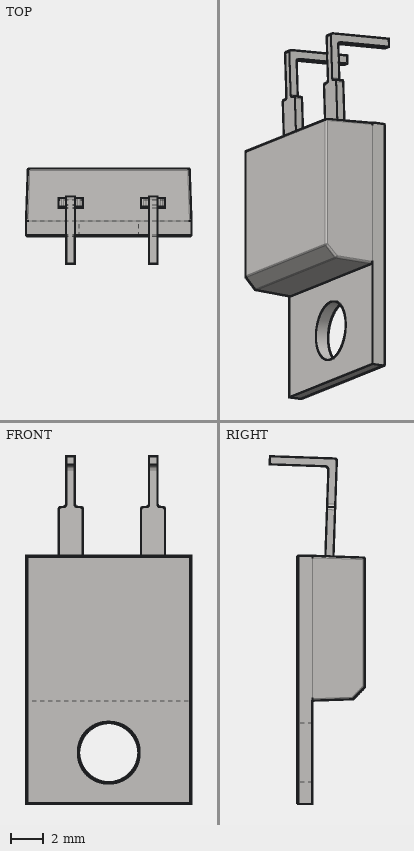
import cadquery as cq
import math

TOTAL_HEIGHT = 21.35
LEAD_TIP_Y = -1.69
BODY_BACK_Y = 4.16

PLATE_WIDTH = 10.15
PLATE_HEIGHT = 15.24
PLATE_THICKNESS = 0.94
PLATE_CHAMFER = 0.09
HOLE_DIAMETER = 3.63
HOLE_CHAMFER = 0.09
HOLE_Z = 3.15

BODY_BOTTOM_Z = 6.34
DRAFT_ANGLE = 2.0
BODY_BEVEL = 0.73
BODY_EDGE_RADIUS = 0.13

LEAD_PAIR_X = 0.2
LEAD_PITCH = 5.08
LEAD_WIDTH = 0.53
LEAD_THICKNESS = 0.51
LEAD_BASE_Y = 1.98
LEAD_TILT = 2.0
LEAD_EMBED = 0.65
PAD_WIDTH = 1.5
PAD_PITCH = 5.04
PAD_HEIGHT = 2.99
SHOULDER_RADIUS = 0.17
BEND_OUTER_RADIUS = 0.17
BEND_INNER_RADIUS = 0.21


def make_plate():
    plate = (
        cq.Workplane("XY")
        .box(PLATE_WIDTH, PLATE_THICKNESS, PLATE_HEIGHT, centered=(True, False, False))
        .faces("<Y").chamfer(PLATE_CHAMFER)
    )
    hole = (
        cq.Workplane("XZ", origin=(0, 0, HOLE_Z))
        .circle(HOLE_DIAMETER / 2)
        .extrude(-PLATE_THICKNESS)
    )
    return plate.cut(hole).faces("<Y").edges("%CIRCLE").chamfer(HOLE_CHAMFER)


def make_body():
    height = PLATE_HEIGHT - BODY_BOTTOM_Z
    depth = BODY_BACK_Y - PLATE_THICKNESS
    body = (
        cq.Workplane("XZ", origin=(0, PLATE_THICKNESS, BODY_BOTTOM_Z + height / 2))
        .rect(PLATE_WIDTH, height)
        .extrude(-depth, taper=DRAFT_ANGLE)
    )
    body = body.faces(">Y").edges("<Z").chamfer(BODY_BEVEL)
    return body.edges("not <Y").fillet(BODY_EDGE_RADIUS)


def make_lead(side):
    """Tilted L-shaped lead; side is -1 or +1 along X."""
    tilt = math.radians(LEAD_TILT)
    half = LEAD_THICKNESS / 2

    rise = TOTAL_HEIGHT - PLATE_HEIGHT
    reach = LEAD_BASE_Y - LEAD_TIP_Y - LEAD_THICKNESS * math.sin(tilt)
    top = rise * math.cos(tilt) - reach * math.sin(tilt)
    tip = -(reach * math.cos(tilt) + rise * math.sin(tilt))

    bent_strip = (
        cq.Workplane("YZ")
        .moveTo(-half, -LEAD_EMBED)
        .lineTo(half, -LEAD_EMBED)
        .lineTo(half, top)
        .lineTo(tip, top)
        .lineTo(tip, top - LEAD_THICKNESS)
        .lineTo(-half, top - LEAD_THICKNESS)
        .close()
        .extrude(PLATE_WIDTH / 2, both=True)
    )
    bend_top = cq.selectors.NearestToPointSelector((0, half, top))
    bend_inside = cq.selectors.NearestToPointSelector((0, -half, top - LEAD_THICKNESS))
    bent_strip = bent_strip.edges("|X").edges(bend_top).fillet(BEND_OUTER_RADIUS)
    bent_strip = bent_strip.edges("|X").edges(bend_inside).fillet(BEND_INNER_RADIUS)

    pad_x = LEAD_PAIR_X + side * PAD_PITCH / 2
    pin_x = LEAD_PAIR_X + side * LEAD_PITCH / 2
    pad_left = pad_x - PAD_WIDTH / 2
    pad_right = pad_x + PAD_WIDTH / 2
    pin_left = pin_x - LEAD_WIDTH / 2
    pin_right = pin_x + LEAD_WIDTH / 2
    outline = (
        cq.Workplane("XZ")
        .moveTo(pad_left, -LEAD_EMBED)
        .lineTo(pad_left, PAD_HEIGHT)
        .lineTo(pin_left, PAD_HEIGHT)
        .lineTo(pin_left, TOTAL_HEIGHT)
        .lineTo(pin_right, TOTAL_HEIGHT)
        .lineTo(pin_right, PAD_HEIGHT)
        .lineTo(pad_right, PAD_HEIGHT)
        .lineTo(pad_right, -LEAD_EMBED)
        .close()
        .extrude(PLATE_WIDTH, both=True)
    )
    margin = SHOULDER_RADIUS
    shoulder = cq.selectors.BoxSelector(
        (pad_left - margin, -margin, PAD_HEIGHT - margin),
        (pad_right + margin, margin, PAD_HEIGHT + margin),
    )
    outline = outline.edges("|Y").edges(shoulder).fillet(SHOULDER_RADIUS)

    return (
        bent_strip.intersect(outline)
        .rotate((0, 0, 0), (1, 0, 0), -LEAD_TILT)
        .translate((0, LEAD_BASE_Y, PLATE_HEIGHT))
    )


result = make_plate().union(make_body())
for lead_side in (-1, 1):
    result = result.union(make_lead(lead_side))